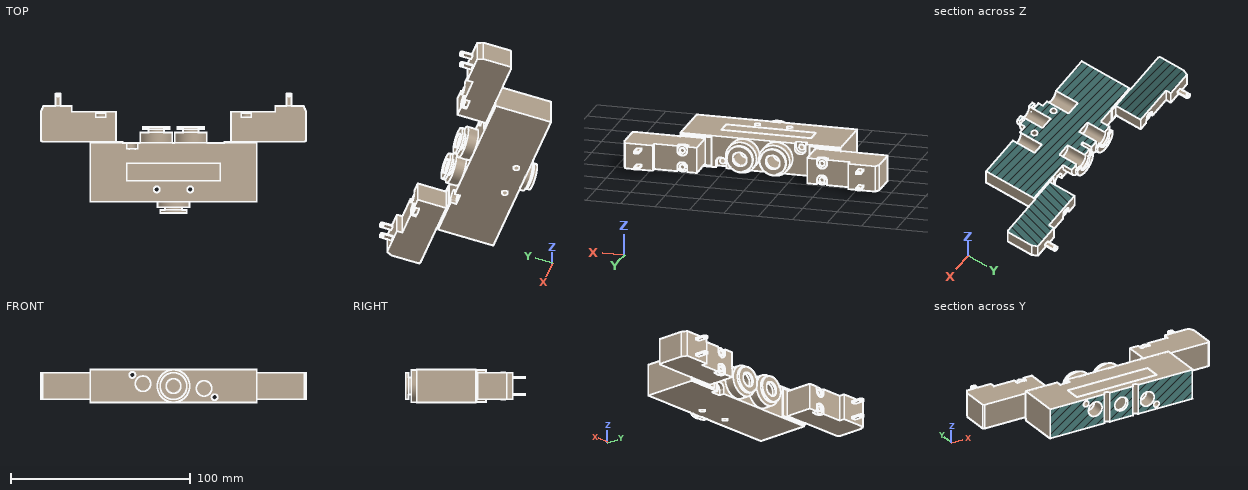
import cadquery as cq

housing_length = 93.2
housing_depth = 32.9
housing_thickness = 18.5

gasket_inner_end = 28.5
gasket_thickness = 0.6
gasket_width = 16.7

label_length = 52.2
label_width = 9.8
label_center_y = 16.7
label_depth = 0.1

cross_hole_diameter = 3.3
cross_hole_x = 9.3
cross_hole_y = 7.0

screw_hole_diameter = 3.3
screw_hole_x = 23.0
screw_hole_z = 6.2
screw_slot_width = 6.2
screw_slot_depth = 3.3

port_diameter = 8.6
port_depth = 14.8
exhaust_port_x = 17.0
exhaust_port_z = 1.3

bore_diameter = 8.2
bore_depth = 14.8
front_collar_diameter = 18.1
front_collar_height = 3.1
front_neck_diameter = 9.6
front_neck_height = 1.3
front_flange_diameter = 15.0
front_flange_height = 1.8
rear_connector_x = 9.6
rear_collar_diameter = 18.0
rear_collar_height = 6.0
rear_neck_diameter = 9.0
rear_neck_height = 1.8
rear_flange_diameter = 15.0
rear_flange_height = 1.3

overall_length = 148.2
coil_outer_end = overall_length / 2
coil_inner_end = 32.0
coil_step_x = 56.8
coil_width = 15.0
coil_base_y = housing_depth + gasket_thickness
coil_low_y = 50.4
coil_high_y = 53.6
base_chamfer_x = 1.0
base_chamfer_y = 0.6
top_chamfer_x = 1.5
top_chamfer_y = 3.3

coil_screw_x = 40.6
coil_screw_diameter = 5.8
coil_screw_z = 4.9
coil_slot_depth = 3.1
coil_screw_height = 2.2
coil_screw_top_diameter = 3.0
coil_screw_top_height = 0.5

blade_x = 64.5
blade_z = 4.7
blade_width = 2.8
blade_thickness = 0.9
blade_tip_y = 60.8
blade_tip_rise = 0.37
blade_hole_diameter = 1.0
blade_hole_y = 59.3


def cylinder_along_y(diameter, x, z, y_start, length, direction=1):
    """Cylinder parallel to Y, running from y_start towards +Y (direction 1) or -Y (direction -1)."""
    return cq.Workplane(cq.Solid.makeCylinder(
        diameter / 2, length, cq.Vector(x, y_start, z), cq.Vector(0, direction, 0)))


def block(x_range, y_range, z_range):
    """Box between the given pairs of limits."""
    lows, highs = zip(*(sorted(limits) for limits in (x_range, y_range, z_range)))
    size = [high - low for low, high in zip(lows, highs)]
    return cq.Workplane(cq.Solid.makeBox(*size, cq.Vector(*lows)))


def screw_slot(width, x, z, y_mouth, depth, z_open):
    """U-shaped counterbore: round at its axis and open sideways out to z_open."""
    y_floor = y_mouth - depth
    round_end = cylinder_along_y(width, x, z, y_floor, depth)
    open_side = block((x - width / 2, x + width / 2), (y_floor, y_mouth), (z, z_open))
    return round_end.union(open_side)


def add_connector(housing, x, face_y, outward, steps):
    """Stack the (diameter, height) steps outward from a housing face, then bore through them."""
    tip_y = face_y
    for diameter, height in steps:
        step = cylinder_along_y(diameter, x, 0, tip_y, height, outward)
        housing = housing.union(step)
        tip_y += outward * height
    return housing.cut(cylinder_along_y(bore_diameter, x, 0, tip_y, bore_depth, -outward))


def make_housing():
    half_length = housing_length / 2
    half_thickness = housing_thickness / 2
    housing = block((-half_length, half_length), (0, housing_depth), (-half_thickness, half_thickness))

    front_steps = [
        (front_collar_diameter, front_collar_height),
        (front_neck_diameter, front_neck_height),
        (front_flange_diameter, front_flange_height),
    ]
    housing = add_connector(housing, 0, 0, -1, front_steps)

    rear_steps = [
        (rear_collar_diameter, rear_collar_height),
        (rear_neck_diameter, rear_neck_height),
        (rear_flange_diameter, rear_flange_height),
    ]
    for side in (-1, 1):
        housing = add_connector(housing, side * rear_connector_x, housing_depth, 1, rear_steps)

    for side in (-1, 1):
        cross_hole = (cq.Workplane("XY", origin=(side * cross_hole_x, cross_hole_y, 0))
                      .circle(cross_hole_diameter / 2).extrude(half_thickness, both=True))
        housing = housing.cut(cross_hole)

        x = side * screw_hole_x
        z = -side * screw_hole_z
        screw_hole = cylinder_along_y(screw_hole_diameter, x, z, 0, housing_depth)
        slot = screw_slot(screw_slot_width, x, z, housing_depth, screw_slot_depth, -side * half_thickness)
        housing = housing.cut(screw_hole).cut(slot)

        port = cylinder_along_y(port_diameter, side * exhaust_port_x, -side * exhaust_port_z, 0, port_depth)
        housing = housing.cut(port)

    label = block((-label_length / 2, label_length / 2),
                  (label_center_y - label_width / 2, label_center_y + label_width / 2),
                  (half_thickness - label_depth, half_thickness))
    return housing.cut(label)


def make_gasket(side):
    """Thin gasket under a coil; side is -1 for the left one and 1 for the right one."""
    return block((side * gasket_inner_end, side * housing_length / 2), (housing_depth, coil_base_y),
                 (-gasket_width / 2, gasket_width / 2))


def make_blade(z):
    """Terminal blade of the right coil with a slightly bowed tip and a small hole."""
    shoulder_y = blade_tip_y - blade_tip_rise
    left = blade_x - blade_width / 2
    right = blade_x + blade_width / 2
    return (cq.Workplane("XY", origin=(0, 0, z - blade_thickness / 2))
            .moveTo(left, coil_high_y)
            .lineTo(right, coil_high_y)
            .lineTo(right, shoulder_y)
            .threePointArc((blade_x, blade_tip_y), (left, shoulder_y))
            .close()
            .moveTo(blade_x, blade_hole_y)
            .circle(blade_hole_diameter / 2)
            .extrude(blade_thickness))


def make_right_coil():
    """Right coil: stepped body, sunk screw heads and terminal blades."""
    outline = [
        (coil_inner_end, coil_base_y),
        (coil_outer_end - base_chamfer_x, coil_base_y),
        (coil_outer_end, coil_base_y + base_chamfer_y),
        (coil_outer_end, coil_high_y - top_chamfer_y),
        (coil_outer_end - top_chamfer_x, coil_high_y),
        (coil_step_x, coil_high_y),
        (coil_step_x, coil_low_y),
        (coil_inner_end, coil_low_y),
    ]
    coil = cq.Workplane("XY").polyline(outline).close().extrude(coil_width / 2, both=True)

    for side in (-1, 1):
        screw_z = side * coil_screw_z
        slot = screw_slot(coil_screw_diameter, coil_screw_x, screw_z, coil_low_y, coil_slot_depth,
                          side * coil_width / 2)
        screw_head = cylinder_along_y(coil_screw_diameter, coil_screw_x, screw_z,
                                      coil_low_y - coil_slot_depth, coil_screw_height)
        screw_top = cylinder_along_y(coil_screw_top_diameter, coil_screw_x, screw_z,
                                     coil_low_y - coil_slot_depth + coil_screw_height,
                                     coil_screw_top_height)
        coil = coil.cut(slot).union(screw_head).union(screw_top).union(make_blade(side * blade_z))
    return coil


housing = make_housing()
gaskets = [make_gasket(side) for side in (-1, 1)]
right_coil = make_right_coil()
coils = [right_coil, right_coil.mirror("YZ")]

result = cq.Compound.makeCompound([
    housing.val(),
    *[gasket.val() for gasket in gaskets],
    *[coil.val() for coil in coils],
])